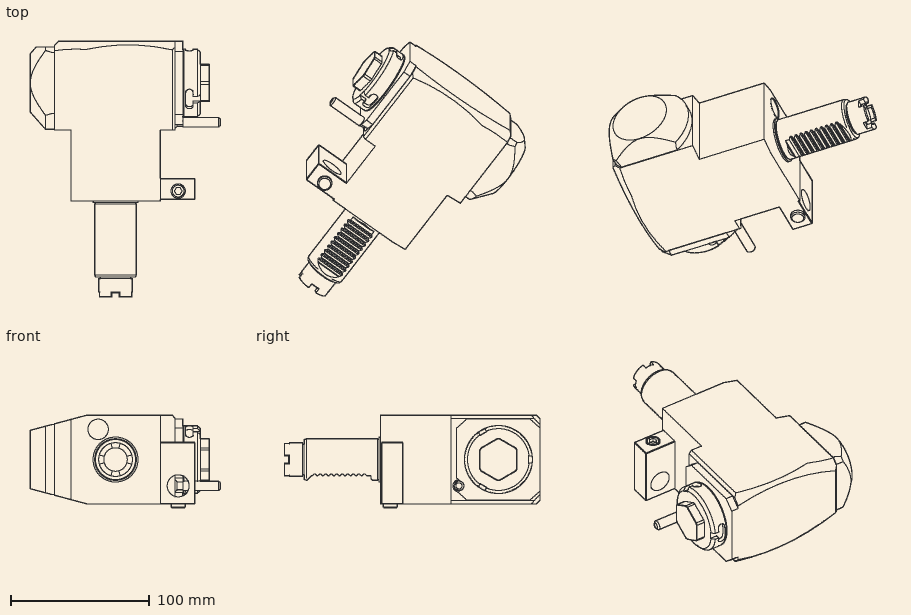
import cadquery as cq
import math


HALF_HEIGHT = 32.0
HALF_WIDTH = 32.2
BACK_Y = 115.0
HEAD_FRONT_Y = 51.0
HEAD_LEFT_X = -44.0
HEAD_RIGHT_X = 42.9
TAPER_START_X = -20.6
TAPER_ANGLE = 15
EDGE_CHAMFER_X = 2.0
EDGE_CHAMFER_Z = 2.4
CORNER_CHAMFER = 3.0
CROWN_RADIUS = 136.2
CROWN_CHAMFER = 2.5
CROWN_CENTER_X = 9.2
DIMPLE_X = -12.5
DIMPLE_Z = 21.7
DIMPLE_RADIUS = 7.4
DIMPLE_DEPTH = 0.7

SPINDLE_Y = 85.0
CAP_END_X = -61.5
CAP_CONE_X = -50.5
CAP_TIP_RADIUS = 21.0
CAP_RADIUS = 33.5
CAP_BACK_Y = 111.0
CAP_TAPER_END_X = -46.0
FLANGE_END_X = 48.4
FLANGE_HALF_Y = BACK_Y - SPINDLE_Y
FLANGE_HALF_Z = 29.3
FLANGE_CHAMFER_Y = 7.4
FLANGE_CHAMFER_Z = 6.6
NUT_END_X = 61.0
NUT_RADIUS = 24.5
NUT_CHAMFER = 2.2
NUT_GROOVE_WIDTH = 0.7
NUT_GROOVE_DEPTH = 0.5
NUT_SLOT_X = 53.2
NUT_SLOT_WIDTH = 5.3
NUT_SLOT_LENGTH = 16.2
NUT_SLOT_DEPTH = 2.8
NUT_SLOT_COUNT = 3
NUT_SLOT_START_ANGLE = 90
HEX_END_X = 67.7
HEX_ACROSS_FLATS = 27.0
HEX_TURNED_RADIUS = 15.0
HEX_CHAMFER = 0.4

PIN_Y = 56.7
PIN_Z = -19.0
PIN_RADIUS = 3.5
PIN_END_X = 75.5
PIN_CHAMFER = 1.3
PIN_NECK_RADIUS = 3.0
PIN_FOOT_RADIUS = 4.5
PIN_FOOT_LENGTH = 1.5
PIN_NOTCH_HALF_WIDTH = 5.7
PIN_NOTCH_DEPTH = 2.8

BLOCK_END_X = 57.2
BLOCK_FRONT_Y = 1.0
BLOCK_BACK_Y = 16.4
BLOCK_TOP_Z = 12.5
BLOCK_CHAMFER = 0.46
BLOCK_HOLE_X = 45.0
BLOCK_HOLE_Z = PIN_Z
BLOCK_HOLE_RADIUS = 8.0
SCREW_Y = 7.2
SCREW_RADIUS = 5.2
SCREW_HEAD_HEIGHT = 3.0
SCREW_CHAMFER = 1.0
SCREW_RING_WIDTH = 1.0
SCREW_RING_DEPTH = 1.0
SOCKET_ACROSS_CORNERS = 5.5
SOCKET_DEPTH = 2.8

COLLAR_RADIUS = 16.2
COLLAR_LENGTH = 1.1
SHANK_RADIUS = 30.0 / 2
SHANK_NECK_RADIUS = 14.4
SHANK_START = 2.0
SHANK_END = 54.8
SHANK_CHAMFER_LENGTH = 1.7
SHANK_CHAMFER = 0.5
SHANK_GROOVE_RADIUS = 11.0
DRIVE_START = 56.0
DRIVE_RADIUS = 12.1
DRIVE_END = 69.0
DRIVE_BORE_RADIUS = 8.5
DRIVE_BORE_DEPTH = 3.0
DRIVE_SLOT_DEPTH = 3.7
DRIVE_SLOT_OUTER_WIDTH = 6.8
DRIVE_SLOT_INNER_WIDTH = 4.6
DRIVE_SLOT_COUNT = 4

RACK_START = 6.8
RACK_CHAMFER = 1.1
RACK_END = 49.5
RACK_HEIGHT = 11.8
TOOTH_COUNT = 10
TOOTH_FIRST = 11.5
TOOTH_LAST = 47.3
TOOTH_PITCH = (TOOTH_LAST - TOOTH_FIRST) / (TOOTH_COUNT - 1)
TOOTH_DEPTH = 1.3
TOOTH_ROOT_WIDTH = 1.0


def taper_drop(x):
    """Height lost by the taper between its start and x."""
    return (TAPER_START_X - x) * math.tan(math.radians(TAPER_ANGLE))


def box(x_range, y_range, z_range):
    """Axis-aligned box from its limits along each axis."""
    (x0, x1), (y0, y1), (z0, z1) = x_range, y_range, z_range
    return cq.Workplane("XY").box(x1 - x0, y1 - y0, z1 - z0, centered=False).translate((x0, y0, z0))


def spindle_plane(x):
    """YZ plane at x, centred on the spindle axis."""
    return cq.Workplane("YZ", origin=(x, SPINDLE_Y, 0))


def make_housing():
    left_z = HALF_HEIGHT - taper_drop(HEAD_LEFT_X)
    side_z = HALF_HEIGHT - EDGE_CHAMFER_Z
    upper = [
        (HEAD_LEFT_X, left_z),
        (TAPER_START_X, HALF_HEIGHT),
        (HEAD_RIGHT_X - EDGE_CHAMFER_X, HALF_HEIGHT),
        (HEAD_RIGHT_X, side_z),
    ]
    lower = [(x, -z) for x, z in reversed(upper)]
    section = cq.Workplane("XZ").polyline(upper + lower).close().extrude(-BACK_Y)

    full_height = (-HALF_HEIGHT, HALF_HEIGHT)
    stem = box((-HALF_WIDTH, HALF_WIDTH), (0, BACK_Y), full_height)
    head = box((HEAD_LEFT_X, HEAD_RIGHT_X), (HEAD_FRONT_Y, BACK_Y), full_height)
    head = head.edges("|Z and <X and >Y").chamfer(CORNER_CHAMFER)
    housing = section.intersect(stem.union(head))
    for side in (1, -1):
        housing = housing.intersect(make_crown(side))
    dimple = cq.Workplane("XZ", origin=(DIMPLE_X, 0, DIMPLE_Z)).circle(DIMPLE_RADIUS).extrude(-DIMPLE_DEPTH)
    return housing.cut(dimple)


def make_crown(side):
    """Large 45 degree cone that bevels the upper (1) or lower (-1) back edge in an arc."""
    back_radius = CROWN_RADIUS - CROWN_CHAMFER
    center_z = side * (HALF_HEIGHT - CROWN_RADIUS)
    return (
        cq.Workplane("XY", origin=(CROWN_CENTER_X, 0, center_z))
        .polyline([(0, 0), (back_radius + BACK_Y, 0), (back_radius, BACK_Y), (0, BACK_Y)])
        .close()
        .revolve(360, (0, 0), (0, 1))
    )


def make_cap():
    turned = (
        cq.Workplane("XY", origin=(0, SPINDLE_Y, 0))
        .polyline([
            (CAP_END_X, 0),
            (CAP_END_X, CAP_TIP_RADIUS),
            (CAP_CONE_X, CAP_RADIUS),
            (HEAD_LEFT_X, CAP_RADIUS),
            (HEAD_LEFT_X, 0),
        ])
        .close()
        .revolve(360, (0, 0), (1, 0))
    )
    tip_z = HALF_HEIGHT - taper_drop(CAP_END_X)
    flat_z = HALF_HEIGHT - taper_drop(CAP_TAPER_END_X)
    upper = [(CAP_END_X, tip_z), (CAP_TAPER_END_X, flat_z), (HEAD_LEFT_X, flat_z)]
    lower = [(x, -z) for x, z in reversed(upper)]
    flats = cq.Workplane("XZ").polyline(upper + lower).close().extrude(-CAP_BACK_Y)
    return turned.intersect(flats)


def make_flange():
    inner_y = FLANGE_HALF_Y - FLANGE_CHAMFER_Y
    inner_z = FLANGE_HALF_Z - FLANGE_CHAMFER_Z
    right = [
        (inner_y, -FLANGE_HALF_Z),
        (FLANGE_HALF_Y, -inner_z),
        (FLANGE_HALF_Y, inner_z),
        (inner_y, FLANGE_HALF_Z),
    ]
    left = [(-y, z) for y, z in reversed(right)]
    thickness = FLANGE_END_X - HEAD_RIGHT_X
    flange = spindle_plane(HEAD_RIGHT_X).polyline(right + left).close().extrude(thickness)

    front = -FLANGE_HALF_Y
    floor = front + PIN_NOTCH_DEPTH
    floor_half = PIN_NOTCH_HALF_WIDTH - PIN_NOTCH_DEPTH
    notch = [
        (front, PIN_Z - PIN_NOTCH_HALF_WIDTH),
        (floor, PIN_Z - floor_half),
        (floor, PIN_Z + floor_half),
        (front, PIN_Z + PIN_NOTCH_HALF_WIDTH),
    ]
    return flange.cut(spindle_plane(HEAD_RIGHT_X).polyline(notch).close().extrude(thickness))


def make_nut():
    body_x = FLANGE_END_X + NUT_GROOVE_WIDTH
    groove = spindle_plane(FLANGE_END_X).circle(NUT_RADIUS - NUT_GROOVE_DEPTH).extrude(NUT_GROOVE_WIDTH)
    body = spindle_plane(body_x).circle(NUT_RADIUS).extrude(NUT_END_X - body_x)
    nut = groove.union(body.faces(">X").edges().chamfer(NUT_CHAMFER))

    floor_radius = NUT_RADIUS - NUT_SLOT_DEPTH
    core = spindle_plane(FLANGE_END_X).circle(floor_radius).extrude(NUT_END_X - FLANGE_END_X)
    slot = (
        cq.Workplane("XY", origin=(NUT_SLOT_X, SPINDLE_Y, 0))
        .slot2D(NUT_SLOT_LENGTH, NUT_SLOT_WIDTH, 90)
        .extrude(NUT_RADIUS)
    )
    half_width = NUT_SLOT_WIDTH / 2
    channel = box(
        (NUT_SLOT_X, NUT_END_X),
        (SPINDLE_Y - half_width, SPINDLE_Y + half_width),
        (0, NUT_RADIUS),
    )
    cutter = slot.union(channel).cut(core)
    for i in range(NUT_SLOT_COUNT):
        angle = -NUT_SLOT_START_ANGLE - i * 360 / NUT_SLOT_COUNT
        nut = nut.cut(cutter.rotate((0, SPINDLE_Y, 0), (1, SPINDLE_Y, 0), angle))
    return nut


def make_hexagon():
    length = HEX_END_X - NUT_END_X
    across_corners = HEX_ACROSS_FLATS / math.cos(math.radians(30))
    plane = spindle_plane(NUT_END_X)
    bar = plane.circle(HEX_TURNED_RADIUS).extrude(length)
    hexagon = plane.transformed(rotate=(0, 0, 90)).polygon(6, across_corners).extrude(length).intersect(bar)
    return hexagon.faces(">X").edges().chamfer(HEX_CHAMFER)


def make_pin():
    foot_x = HEAD_RIGHT_X + PIN_FOOT_LENGTH
    return (
        cq.Workplane("XY", origin=(0, PIN_Y, PIN_Z))
        .polyline([
            (HEAD_RIGHT_X, 0),
            (HEAD_RIGHT_X, PIN_FOOT_RADIUS),
            (foot_x, PIN_NECK_RADIUS),
            (FLANGE_END_X, PIN_NECK_RADIUS),
            (FLANGE_END_X, PIN_RADIUS),
            (PIN_END_X - PIN_CHAMFER, PIN_RADIUS),
            (PIN_END_X, PIN_RADIUS - PIN_CHAMFER),
            (PIN_END_X, 0),
        ])
        .close()
        .revolve(360, (0, 0), (1, 0))
    )


def make_block():
    block = box((HALF_WIDTH, BLOCK_END_X), (BLOCK_FRONT_Y, BLOCK_BACK_Y), (-HALF_HEIGHT, BLOCK_TOP_Z))
    block = block.edges("not <X").chamfer(BLOCK_CHAMFER)
    hole = (
        cq.Workplane("XZ", origin=(BLOCK_HOLE_X, 0, BLOCK_HOLE_Z))
        .circle(BLOCK_HOLE_RADIUS)
        .extrude(-BLOCK_BACK_Y)
    )
    top_plane = cq.Workplane("XY", origin=(BLOCK_HOLE_X, SCREW_Y, BLOCK_TOP_Z))
    ring = top_plane.circle(SCREW_RADIUS).circle(SCREW_RADIUS - SCREW_RING_WIDTH).extrude(-SCREW_RING_DEPTH)
    socket = top_plane.polygon(6, SOCKET_ACROSS_CORNERS).extrude(-SOCKET_DEPTH)
    screw_head = (
        cq.Workplane("XY", origin=(BLOCK_HOLE_X, SCREW_Y, -HALF_HEIGHT))
        .circle(SCREW_RADIUS)
        .extrude(-SCREW_HEAD_HEIGHT)
        .faces("<Z")
        .edges()
        .chamfer(SCREW_CHAMFER)
    )
    return block.cut(hole).cut(ring).cut(socket).union(screw_head)


def make_shank():
    turned = (
        cq.Workplane("XY")
        .polyline([
            (0, 0),
            (COLLAR_RADIUS, 0),
            (COLLAR_RADIUS, -COLLAR_LENGTH),
            (SHANK_NECK_RADIUS, -COLLAR_LENGTH),
            (SHANK_RADIUS, -SHANK_START),
            (SHANK_RADIUS, SHANK_CHAMFER_LENGTH - SHANK_END),
            (SHANK_RADIUS - SHANK_CHAMFER, -SHANK_END),
            (SHANK_GROOVE_RADIUS, -SHANK_END),
            (SHANK_GROOVE_RADIUS, -DRIVE_START),
            (DRIVE_RADIUS, -DRIVE_START),
            (DRIVE_RADIUS, -DRIVE_END),
            (0, -DRIVE_END),
        ])
        .close()
        .revolve(360, (0, 0), (0, 1))
    )
    return cut_drive_end(turned).cut(make_rack_cutter())


def cut_drive_end(shank):
    """Bore the end of the shank and cut the four tapered driving slots."""
    end_plane = cq.Workplane("XZ", origin=(0, -DRIVE_END, 0))
    shank = shank.cut(end_plane.circle(DRIVE_BORE_RADIUS).extrude(-DRIVE_BORE_DEPTH))
    inner = DRIVE_SLOT_INNER_WIDTH / 2
    outer = DRIVE_SLOT_OUTER_WIDTH / 2
    inner_z = DRIVE_BORE_RADIUS * math.cos(math.asin(outer / DRIVE_BORE_RADIUS))
    slot = (
        end_plane
        .polyline([(-inner, inner_z), (inner, inner_z), (outer, DRIVE_RADIUS), (-outer, DRIVE_RADIUS)])
        .close()
        .extrude(-DRIVE_SLOT_DEPTH)
        .cut(end_plane.circle(DRIVE_BORE_RADIUS).extrude(-DRIVE_SLOT_DEPTH))
    )
    for i in range(DRIVE_SLOT_COUNT):
        shank = shank.cut(slot.rotate((0, 0, 0), (0, 1, 0), i * 360 / DRIVE_SLOT_COUNT))
    return shank


def make_rack_cutter():
    """Flat relief on the underside of the shank with tooth gaps rising from it."""
    below = SHANK_RADIUS
    relief = [
        (-RACK_START, -RACK_HEIGHT),
        (-RACK_START, -below + RACK_CHAMFER),
        (-RACK_START + RACK_CHAMFER, -below),
        (-RACK_END - (below - RACK_HEIGHT), -below),
        (-RACK_END, -RACK_HEIGHT),
    ]
    plane = cq.Workplane("YZ", origin=(-SHANK_RADIUS, 0, 0))
    cutter = plane.polyline(relief).close().extrude(2 * SHANK_RADIUS)

    root = TOOTH_ROOT_WIDTH / 2
    mouth = root + TOOTH_DEPTH
    root_z = -RACK_HEIGHT + TOOTH_DEPTH
    for i in range(TOOTH_COUNT):
        y = -TOOTH_FIRST - i * TOOTH_PITCH
        gap = [(y - root, root_z), (y + root, root_z), (y + mouth, -RACK_HEIGHT), (y - mouth, -RACK_HEIGHT)]
        cutter = cutter.union(plane.polyline(gap).close().extrude(2 * SHANK_RADIUS))
    return cutter


result = (
    make_housing()
    .union(make_cap())
    .union(make_flange())
    .union(make_nut())
    .union(make_hexagon())
    .union(make_pin())
    .union(make_block())
    .union(make_shank())
)